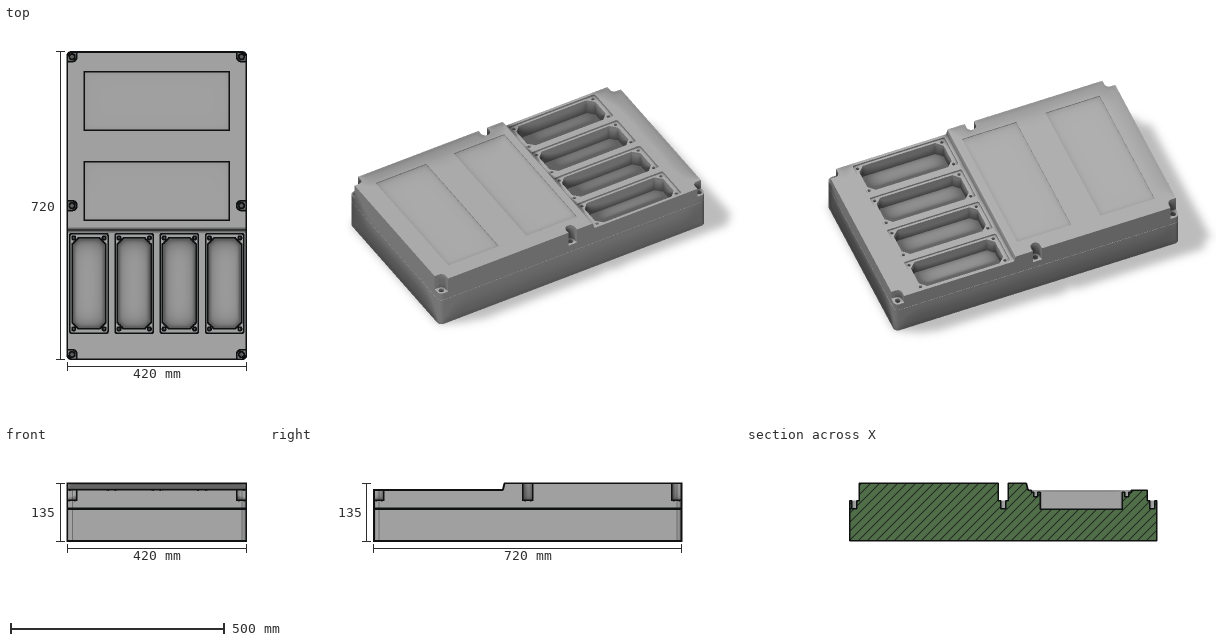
import cadquery as cq

WIDTH = 420.0
LENGTH = 720
HEIGHT = 135.0
CORNER_RADIUS = 11.5

DECK_Z = 119.5
STEP_TOP_Y = -55.0
STEP_FOOT_Y = -58.0
STEP_FILLET = 3.5

SEAM_Z = 74.0
SEAM_HEIGHT = 2.0
SEAM_DEPTH = 1.0
SEAM_CUTTER_MARGIN = 7

SCREW_INSET = 11.5
SCREW_FLOOR_Z = 95.0
RECESS_RADIUS = 11.5
SCREW_HOLE_DIAMETER = 13.0

WINDOW_WIDTH = 339.0
WINDOW_LENGTH = 137
WINDOW_DEPTH = 2.0
WINDOW_CENTRES_Y = (245, 34.0)

COMPARTMENT_COUNT = 4
COMPARTMENT_PITCH = 106.0
COMPARTMENT_Y = -182.0
RIM_WIDTH = 89.0
RIM_LENGTH = 232.5
RIM_RADIUS = 4.0
RIM_DEPTH = 5.0
WELL_WIDTH = 79
WELL_LENGTH = 213.0
WELL_CHAMFER = 15.0
WELL_DEPTH = 39.5
RIM_HOLE_DIAMETER = 8.0
RIM_HOLE_PITCH_X = 71.0
RIM_HOLE_DEPTH = 11.0


def prism(width, length, bottom_z, top_z):
    """Upright rectangular block centred on the Z axis."""
    return (
        cq.Workplane("XY")
        .workplane(offset=bottom_z)
        .rect(width, length)
        .extrude(top_z - bottom_z)
    )


def cylinder(diameter, bottom_z, top_z):
    """Upright cylinder on the Z axis."""
    return (
        cq.Workplane("XY")
        .workplane(offset=bottom_z)
        .circle(diameter / 2)
        .extrude(top_z - bottom_z)
    )


def enclosure():
    """Stepped block with rounded vertical corners."""
    body = (
        cq.Workplane("YZ")
        .moveTo(-LENGTH / 2, 0)
        .lineTo(LENGTH / 2, 0)
        .lineTo(LENGTH / 2, HEIGHT)
        .lineTo(STEP_TOP_Y, HEIGHT)
        .lineTo(STEP_FOOT_Y, DECK_Z)
        .lineTo(-LENGTH / 2, DECK_Z)
        .close()
        .extrude(WIDTH / 2, both=True)
    )
    body = body.edges("|Z").fillet(CORNER_RADIUS)
    for y, z in ((STEP_TOP_Y, HEIGHT), (STEP_FOOT_Y, DECK_Z)):
        body = body.edges(cq.NearestToPointSelector((0, y, z))).fillet(STEP_FILLET)
    return body


def seam_groove():
    """Thin band that follows the rounded outline of the enclosure."""
    top_z = SEAM_Z + SEAM_HEIGHT
    outside = prism(WIDTH + SEAM_CUTTER_MARGIN, LENGTH + SEAM_CUTTER_MARGIN, SEAM_Z, top_z)
    core = prism(WIDTH - 2 * SEAM_DEPTH, LENGTH - 2 * SEAM_DEPTH, SEAM_Z, top_z)
    return outside.cut(core.edges("|Z").fillet(CORNER_RADIUS - SEAM_DEPTH))


def screw_cutter(side_x, side_y):
    """Recess and hole for one lid screw; side_y is 0 for a screw halfway along."""
    reach = 2 * RECESS_RADIUS
    recess = cylinder(2 * RECESS_RADIUS, SCREW_FLOOR_Z, HEIGHT)
    outward_x = prism(reach, 2 * RECESS_RADIUS, SCREW_FLOOR_Z, HEIGHT)
    recess = recess.union(outward_x.translate((side_x * reach / 2, 0, 0)))
    if side_y:
        outward_y = prism(2 * RECESS_RADIUS, reach, SCREW_FLOOR_Z, HEIGHT)
        corner = prism(reach, reach, SCREW_FLOOR_Z, HEIGHT)
        recess = recess.union(outward_y.translate((0, side_y * reach / 2, 0)))
        recess = recess.union(corner.translate((side_x * reach / 2, side_y * reach / 2, 0)))
    hole = cylinder(SCREW_HOLE_DIAMETER, SEAM_Z + SEAM_HEIGHT, SCREW_FLOOR_Z)
    x = side_x * (WIDTH / 2 - SCREW_INSET)
    y = side_y * (LENGTH / 2 - SCREW_INSET)
    return recess.union(hole).translate((x, y, 0))


def compartment_cutter():
    """Rounded rim recess, deep well with cut corners, and a rim hole in each corner."""
    rim_z = DECK_Z - RIM_DEPTH
    rim = prism(RIM_WIDTH, RIM_LENGTH, rim_z, DECK_Z).edges("|Z").fillet(RIM_RADIUS)
    well = prism(WELL_WIDTH, WELL_LENGTH, rim_z - WELL_DEPTH, rim_z)
    well = well.edges("|Z").chamfer(WELL_CHAMFER)
    holes = (
        cq.Workplane("XY")
        .workplane(offset=rim_z - RIM_HOLE_DEPTH)
        .rect(RIM_HOLE_PITCH_X, WELL_LENGTH, forConstruction=True)
        .vertices()
        .circle(RIM_HOLE_DIAMETER / 2)
        .extrude(RIM_HOLE_DEPTH)
    )
    return rim.union(well).union(holes)


result = enclosure().cut(seam_groove())

for side_x in (-1, 1):
    for side_y in (-1, 0, 1):
        result = result.cut(screw_cutter(side_x, side_y))

for window_y in WINDOW_CENTRES_Y:
    window = prism(WINDOW_WIDTH, WINDOW_LENGTH, HEIGHT - WINDOW_DEPTH, HEIGHT)
    result = result.cut(window.translate((0, window_y, 0)))

for index in range(COMPARTMENT_COUNT):
    compartment_x = (index - (COMPARTMENT_COUNT - 1) / 2) * COMPARTMENT_PITCH
    result = result.cut(compartment_cutter().translate((compartment_x, COMPARTMENT_Y, 0)))